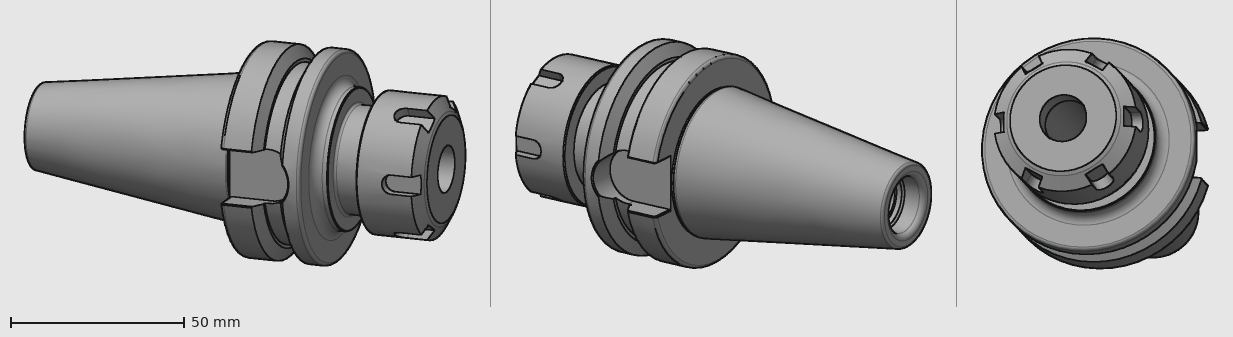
import cadquery as cq
import math

total_length = 125.8
flange_radius = 63.0 / 2

taper_large_radius = 22.4
taper_end_x = 65.9
taper_angle = math.atan(7 / 48)
shank_end_fillet = 0.9
land_end_x = 66.5
undercut_radius = 44.2 / 2
undercut_floor_x = 66.8

flange_start_x = 67.4
flange_edge_fillet = 1.0
vgroove_start_x = 77.1
vgroove_floor_start_x = 79.4
vgroove_floor_end_x = 84.7
vgroove_floor_radius = 26.5
vgroove_wall_angle = 60.0
flange_end_x = 92.3

collar_radius = 42.0 / 2
collar_fillet = 3.0
collar_end_x = 97.1
collar_edge_chamfer = 0.3
neck_radius = 32.0 / 2
neck_root_fillet = 0.8
neck_end_x = 118.3

drive_slot_width = 16.2
drive_slot_end_x = 88.7
drive_slot_floor = 22.5
drive_slot_chamfer = 0.4

bore_radius = 13.8 / 2
pilot_radius = 17.0 / 2
pilot_mouth_radius = 20.5 / 2
pilot_depth = 6.8
counterbore_radius = 15.7 / 2
counterbore_depth = 9.2

nut_start_x = 105.8
nut_radius = 42.0 / 2
nut_rear_chamfer = 0.4
nut_cone_start_x = 122.9
nut_cone_angle = 60.0
nut_cone_end_x = 125.3
nut_face_radius = 15.7
nut_slot_count = 6
nut_slot_width = 5.8
nut_slot_start_x = 113.8
nut_slot_floor = 17.7


def revolve_about_x(outline):
    return outline.close().revolve(360, (0, 0, 0), (1, 0, 0))


def cylinder_along_x(radius, start_x, end_x):
    return cq.Workplane("YZ", origin=(start_x, 0, 0)).circle(radius).extrude(end_x - start_x)


def round_ended_slot(start_x, end_x, width, floor, top):
    """Cutter on the +Z side, spanning start_x to end_x with both ends round."""
    length = end_x - start_x
    return (
        cq.Workplane("XY", origin=((start_x + end_x) / 2, 0, floor))
        .slot2D(length, width)
        .extrude(top - floor)
    )


def holder_blank():
    small_radius = taper_large_radius - taper_end_x * math.tan(taper_angle)
    fillet_centre_y = small_radius + shank_end_fillet * (math.tan(taper_angle) - 1 / math.cos(taper_angle))
    fillet_end = (
        shank_end_fillet * (1 - math.sin(taper_angle)),
        fillet_centre_y + shank_end_fillet * math.cos(taper_angle),
    )
    wall_width = vgroove_floor_start_x - vgroove_start_x
    wall_foot_radius = flange_radius - wall_width * math.tan(math.radians(vgroove_wall_angle))
    outline = (
        cq.Workplane("XY")
        .moveTo(0, 0)
        .lineTo(0, fillet_centre_y)
        .radiusArc(fillet_end, shank_end_fillet)
        .lineTo(taper_end_x, taper_large_radius)
        .lineTo(land_end_x, taper_large_radius)
        .lineTo(undercut_floor_x, undercut_radius)
        .lineTo(flange_start_x, undercut_radius)
        .lineTo(flange_start_x, flange_radius - flange_edge_fillet)
        .radiusArc((flange_start_x + flange_edge_fillet, flange_radius), flange_edge_fillet)
        .lineTo(vgroove_start_x, flange_radius)
        .lineTo(vgroove_floor_start_x, wall_foot_radius)
        .lineTo(vgroove_floor_start_x, vgroove_floor_radius)
        .lineTo(vgroove_floor_end_x, vgroove_floor_radius)
        .lineTo(vgroove_floor_end_x, wall_foot_radius)
        .lineTo(vgroove_floor_end_x + wall_width, flange_radius)
        .lineTo(flange_end_x - flange_edge_fillet, flange_radius)
        .radiusArc((flange_end_x, flange_radius - flange_edge_fillet), flange_edge_fillet)
        .lineTo(flange_end_x, collar_radius + collar_fillet)
        .radiusArc((flange_end_x + collar_fillet, collar_radius), -collar_fillet)
        .lineTo(collar_end_x - collar_edge_chamfer, collar_radius)
        .lineTo(collar_end_x, collar_radius - collar_edge_chamfer)
        .lineTo(collar_end_x, neck_radius + neck_root_fillet)
        .radiusArc((collar_end_x + neck_root_fillet, neck_radius), -neck_root_fillet)
        .lineTo(neck_end_x, neck_radius)
        .lineTo(neck_end_x, 0)
    )
    return revolve_about_x(outline)


def holder_bore():
    """Stepped cutter: rounded mouth, pilot, 45-degree shoulder, counterbore and through bore."""
    mouth_fillet = pilot_mouth_radius - pilot_radius
    shoulder = pilot_radius - counterbore_radius
    outline = (
        cq.Workplane("XY")
        .moveTo(0, 0)
        .lineTo(0, pilot_mouth_radius)
        .radiusArc((mouth_fillet, pilot_radius), -mouth_fillet)
        .lineTo(pilot_depth, pilot_radius)
        .lineTo(pilot_depth + shoulder, counterbore_radius)
        .lineTo(counterbore_depth, counterbore_radius)
        .lineTo(counterbore_depth, bore_radius)
        .lineTo(neck_end_x, bore_radius)
        .lineTo(neck_end_x, 0)
    )
    return revolve_about_x(outline)


def chamfer_drive_slots(holder):
    """Break the edges where the drive slots meet the outer flange surface."""
    half_width = drive_slot_width / 2
    margin = 0.1
    mouth_y = math.sqrt(flange_radius**2 - half_width**2)
    for side in (-1, 1):
        mouth_edges = cq.selectors.BoxSelector(
            (flange_start_x, side * (mouth_y - margin), -half_width - margin),
            (drive_slot_end_x + margin, side * (flange_radius + margin), half_width + margin),
        )
        holder = holder.edges(mouth_edges).chamfer(drive_slot_chamfer)
    return holder


def make_holder():
    holder = holder_blank().cut(holder_bore())
    slot = round_ended_slot(
        flange_start_x - drive_slot_width, drive_slot_end_x, drive_slot_width, drive_slot_floor, flange_radius
    )
    for angle in (-90, 90):
        holder = holder.cut(slot.rotate((0, 0, 0), (1, 0, 0), angle))
    return chamfer_drive_slots(holder)


def make_nut():
    cone_length = nut_cone_end_x - nut_cone_start_x
    cone_end_radius = nut_radius - cone_length * math.tan(math.radians(nut_cone_angle))
    outline = (
        cq.Workplane("XY")
        .moveTo(nut_start_x, 0)
        .lineTo(nut_start_x, nut_radius - nut_rear_chamfer)
        .lineTo(nut_start_x + nut_rear_chamfer, nut_radius)
        .lineTo(nut_cone_start_x, nut_radius)
        .lineTo(nut_cone_end_x, cone_end_radius)
        .lineTo(total_length, nut_face_radius)
        .lineTo(total_length, 0)
    )
    nut = revolve_about_x(outline)
    nut = nut.cut(cylinder_along_x(neck_radius, nut_start_x, neck_end_x))
    nut = nut.cut(cylinder_along_x(bore_radius, neck_end_x, total_length))

    slot = round_ended_slot(
        nut_slot_start_x, total_length + nut_slot_width, nut_slot_width, nut_slot_floor, nut_radius
    )
    for index in range(nut_slot_count):
        angle = 90 + index * 360 / nut_slot_count
        nut = nut.cut(slot.rotate((0, 0, 0), (1, 0, 0), angle))
    return nut


holder = make_holder()
collet_nut = make_nut()
result = cq.Compound.makeCompound([holder.val(), collet_nut.val()])